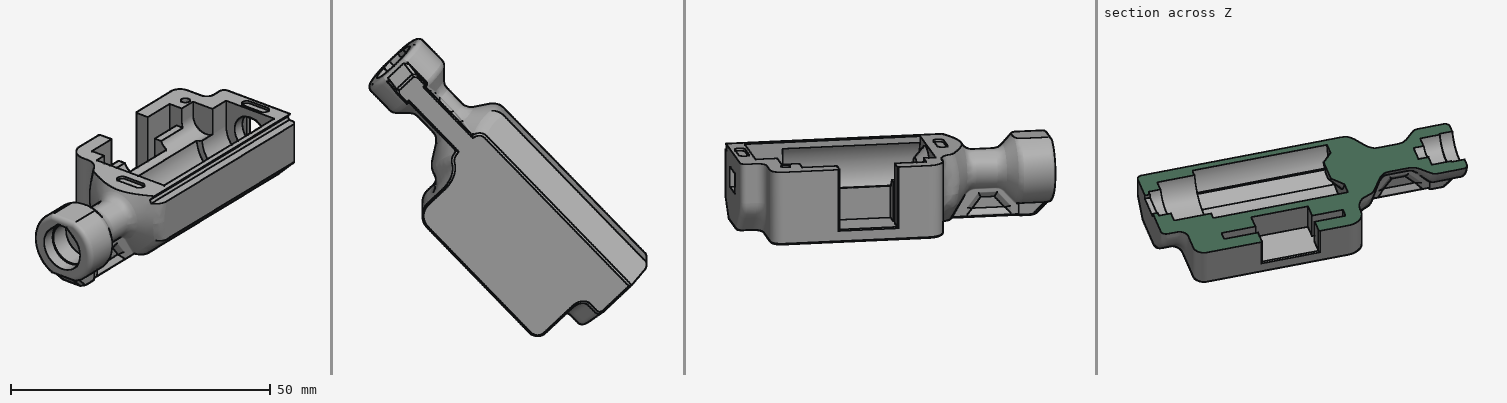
import cadquery as cq
import math


LENGTH = 62.2
BLOCK_SIDE = -16.65
RIGHT_SIDE = 8.67
BOTTOM = -9.0
HEAD_FLAT = 6.44
TOP = 5.5

CASE_LEFT = -9.3
CASE_CHAMFER = 4.8
CASE_LEFT_ROUND = 4.6
CASE_END_ROUND = 1.1
FLARE_EDGE_ROUND = 2.5
BLOCK_FRONT = 23.4
BLOCK_BACK = 57.5
BLOCK_FRONT_ROUND = 3.4
BLOCK_BACK_ROUND = 2.2
FRONT_BLEND = 3.3
BACK_BLEND = 1.7
BOTTOM_CHAMFER = 0.3

HEAD_R = 7.0
HEAD_END_ROUND = 1.0
HEAD_CONE_START = 6.9
HEAD_CONE_ROUND = 1.4
NECK_R = 3.95
NECK_ROUND = 2.4
FLARE_START = 16.4
FLARE_SLOPE = 1.5
FLARE_OUTER_R = 25.0
FLARE_ROOT = 0.9
SOCKET_R = 4.4
SOCKET_DEPTH = 2.6
SOCKET_INNER_R = 4.15
SOCKET_INNER_DEPTH = 6.5
KEYWAY_HALF_TOP = 1.07
KEYWAY_HALF_BASE = 2.6
KEYWAY_TOP = 5.0
KEYWAY_BASE = 3.6
COUNTERBORE_D = 4.15
COUNTERBORE_DEPTH = 2.0
WIRE_HOLE_D = 2.1

RIB_HALF = 2.2
FOOT_HALF = 2.7
FOOT_END = 6.6
FOOT_CHAMFER = 0.6
FOOT_TIP = 3.3
RIB_BACK = 22.0
RIB_TOP = -3.0
FOOT_TOP = -6.0
PANEL_FRONT = 8.1
PANEL_BACK = 16.6
PANEL_TOP_FRONT = 10.7
PANEL_TOP_BACK = 14.4
PANEL_BOTTOM = -8.4
PANEL_SHOULDER = -7.0
PANEL_TOP = -4.1
RIB_ROUND = 0.3
PANEL_DEPTH = 0.7
PANEL_TAPER = 57.0

CAVITY_FRONT = 24.35
CAVITY_STEP = 51.3
CAVITY_BACK = 58.75
CAVITY_HALF = 5.9
WIDE_R = 7.28
CHANNEL_R = 3.1
CHANNEL_X = -7.55
CHANNEL_Z = 2.55
CHANNEL_BACK = 54.5
GROOVE_ANGLE = 30.0
GROOVE_WIDTH = 3.55
GROOVE_FLOOR = 7.95
BOSS_BASE_R = 5.0
BOSS_TIP_R = 2.8
BOSS_LENGTH = 2.05

RECESS_R = 3.8
RECESS_DEPTH = 2.4
OPENING_WIDTH = 5.4
OPENING_HEIGHT = 4.0

WINDOW_FRONT = 32.9
WINDOW_BACK = 44.2
WINDOW_INNER = -9.1
WINDOW_FLOOR = -6.45
WINDOW_CHAMFER = 0.25
WINDOW_TAPER = 45.0
SLOT_FRONT = 26.7
SLOT_BACK = 51.0
SLOT_OUTER = -13.65
SLOT_INNER = -11.95
LEDGE_INNER = -10.0
LEDGE_FLOOR = 1.35

PIN_D = 1.8
PIN_X = -12.15
PIN_Y = 54.0
PIN_DEPTH = 5.0
OBLONG_LENGTH = 6.2
OBLONG_WIDTH = 2.05
OBLONG_DEPTH = 0.5
OBLONG_YS = (21.45, 60.35)
LIP_EDGE = 7.13
LIP_ROOT = 6.5
LIP_ROOT_Z = 4.7
LEDGE_START = 6.87
LEDGE_Z = 4.1

OVERCUT = 5.0


def box(x0, x1, y0, y1, z0, z1):
    return cq.Workplane("XY").box(x1 - x0, y1 - y0, z1 - z0, centered=False).translate((x0, y0, z0))


def rod(radius, y0, y1, x=0.0, z=0.0):
    """Cylinder along Y."""
    return cq.Workplane("XZ", origin=(x, y0, z)).circle(radius).extrude(y0 - y1)


def prism_y(points, y0, y1):
    """Outline of (x, z) points swept along Y."""
    return cq.Workplane("XZ", origin=(0, y0, 0)).polyline(points).close().extrude(y0 - y1)


def revolve_y(points):
    """Outline of (radius, y) points turned about the stem axis."""
    return cq.Workplane("XY").polyline(points).close().revolve(360, (0, 0, 0), (0, 1, 0))


def edges_at(solid, *points):
    """Edges of the solid nearest to the given points."""
    picked = solid.edges(cq.selectors.NearestToPointSelector(points[0]))
    for point in points[1:]:
        picked = picked.add(solid.edges(cq.selectors.NearestToPointSelector(point)))
    return picked


def flare_radius(y):
    return NECK_R + (y - FLARE_START) * FLARE_SLOPE


def flare_y(radius):
    return FLARE_START + (radius - NECK_R) / FLARE_SLOPE


def make_case():
    """Chamfered case with a conical nose, joined to the side block."""
    section = [
        (CASE_LEFT, TOP),
        (CASE_LEFT, BOTTOM + CASE_CHAMFER),
        (CASE_LEFT + CASE_CHAMFER, BOTTOM),
        (RIGHT_SIDE - CASE_CHAMFER, BOTTOM),
        (RIGHT_SIDE, BOTTOM + CASE_CHAMFER),
        (RIGHT_SIDE, TOP),
    ]
    case = prism_y(section, 0, LENGTH)
    left_edge = (CASE_LEFT, LENGTH / 2, BOTTOM + CASE_CHAMFER)
    case = edges_at(case, left_edge).fillet(CASE_LEFT_ROUND)
    case = edges_at(case, (CASE_LEFT, LENGTH, 0), (RIGHT_SIDE, LENGTH, 0)).fillet(CASE_END_ROUND)
    nose = revolve_y([
        (0, flare_y(0)),
        (FLARE_OUTER_R, flare_y(FLARE_OUTER_R)),
        (FLARE_OUTER_R, LENGTH),
        (0, LENGTH),
    ])
    case = case.intersect(nose)
    mid = CASE_CHAMFER / 2
    flare_points = []
    for x, z in (
        (CASE_LEFT, 0),
        (CASE_LEFT + mid, BOTTOM + mid),
        (RIGHT_SIDE - mid, BOTTOM + mid),
        (RIGHT_SIDE, 0),
    ):
        flare_points.append((x, flare_y(math.hypot(x, z)), z))
    case = edges_at(case, *flare_points).fillet(FLARE_EDGE_ROUND)

    block = box(BLOCK_SIDE, 0, BLOCK_FRONT, BLOCK_BACK, BOTTOM, TOP)
    block = edges_at(block, (BLOCK_SIDE, BLOCK_FRONT, 0)).fillet(BLOCK_FRONT_ROUND)
    block = edges_at(block, (BLOCK_SIDE, BLOCK_BACK, 0)).fillet(BLOCK_BACK_ROUND)
    case = case.union(block)
    for y, radius in ((BLOCK_FRONT, FRONT_BLEND), (BLOCK_BACK, BACK_BLEND)):
        corner = edges_at(case, (CASE_LEFT, y, 0), (CASE_LEFT + mid, y, BOTTOM + mid))
        case = corner.fillet(radius)
    return case


def cut_lid_ledge(body):
    """Undercut step for the lid along the right rim."""
    reach = RIGHT_SIDE + OVERCUT
    section = [
        (LIP_EDGE, TOP),
        (LIP_ROOT, LIP_ROOT_Z),
        (LEDGE_START, LEDGE_Z),
        (reach, LEDGE_Z),
        (reach, TOP),
    ]
    return body.cut(prism_y(section, 0, LENGTH))


def make_stem():
    """Head with two flats, neck and the flare root that runs into the case."""
    cone_end = HEAD_CONE_START + HEAD_R - NECK_R
    head = rod(HEAD_R, 0, HEAD_CONE_START + HEAD_R)
    head = head.intersect(box(-HEAD_R, HEAD_R, 0, LENGTH, -HEAD_FLAT, HEAD_FLAT))
    head = head.faces("<Y").edges().fillet(HEAD_END_ROUND)

    root_y = FLARE_START + FLARE_ROOT
    root_r = flare_radius(root_y)
    outline = revolve_y([
        (0, 0),
        (HEAD_R, 0),
        (HEAD_R, HEAD_CONE_START),
        (NECK_R, cone_end),
        (NECK_R, FLARE_START),
        (root_r, root_y),
        (0, root_y),
    ])
    outline = edges_at(outline, (0, HEAD_CONE_START, 0)).fillet(HEAD_CONE_ROUND)
    outline = edges_at(outline, (0, cone_end, 0), (0, FLARE_START, 0)).fillet(NECK_ROUND)
    behind_head = box(-HEAD_R, HEAD_R, cone_end, LENGTH, -HEAD_R, HEAD_R)
    return outline.intersect(head.union(behind_head))


def make_rib():
    """Rib from the case to the head with a sunken panel on each side."""
    foot_outline = [
        (FOOT_TIP, BOTTOM),
        (FOOT_END, BOTTOM),
        (FOOT_END, FOOT_TOP),
        (FOOT_TIP - (FOOT_TOP - BOTTOM), FOOT_TOP),
    ]
    foot = cq.Workplane("YZ", origin=(-FOOT_HALF, 0, 0)).polyline(foot_outline).close()
    foot = foot.extrude(2 * FOOT_HALF)
    slope_mid = (BOTTOM + FOOT_TOP) / 2
    slope_y = FOOT_TIP - (slope_mid - BOTTOM)
    slope_edges = edges_at(foot, (-FOOT_HALF, slope_y, slope_mid), (FOOT_HALF, slope_y, slope_mid))
    foot = slope_edges.chamfer(FOOT_CHAMFER)
    rib = box(-RIB_HALF, RIB_HALF, FOOT_END, RIB_BACK, BOTTOM, RIB_TOP)
    rib = foot.union(rib)
    rib = rib.faces("<Z").edges().chamfer(BOTTOM_CHAMFER)
    panel = [
        (PANEL_FRONT, PANEL_BOTTOM),
        (PANEL_FRONT, PANEL_SHOULDER),
        (PANEL_TOP_FRONT, PANEL_TOP),
        (PANEL_TOP_BACK, PANEL_TOP),
        (PANEL_BACK, PANEL_SHOULDER),
        (PANEL_BACK, PANEL_BOTTOM),
    ]
    left = cq.Workplane("YZ", origin=(-RIB_HALF, 0, 0)).polyline(panel).close()
    left = left.extrude(PANEL_DEPTH, taper=PANEL_TAPER)
    return rib.cut(left).cut(left.mirror("YZ"))


def round_rib_sides(body):
    """Blend the rib sides into stem, case and foot, and soften the panel rims."""
    slack = 0.05
    lowest = BOTTOM + BOTTOM_CHAMFER + slack
    rims = body.edges(cq.selectors.BoxSelector(
        (-RIB_HALF - slack, FOOT_END - slack, lowest), (-RIB_HALF + slack, RIB_BACK, 0)
    ))
    rims = rims.add(body.edges(cq.selectors.BoxSelector(
        (RIB_HALF - slack, FOOT_END - slack, lowest), (RIB_HALF + slack, RIB_BACK, 0)
    )))
    return rims.fillet(RIB_ROUND)


def cut_stem_bores(body):
    """Stepped socket with a keyway, and the wire hole through to the cavity."""
    body = body.cut(rod(SOCKET_R, 0, SOCKET_DEPTH))
    body = body.cut(rod(SOCKET_INNER_R, 0, SOCKET_INNER_DEPTH))
    keyway = [
        (-KEYWAY_HALF_BASE, KEYWAY_BASE),
        (-KEYWAY_HALF_TOP, KEYWAY_TOP),
        (KEYWAY_HALF_TOP, KEYWAY_TOP),
        (KEYWAY_HALF_BASE, KEYWAY_BASE),
    ]
    body = body.cut(prism_y(keyway, 0, SOCKET_INNER_DEPTH))
    body = body.cut(rod(COUNTERBORE_D / 2, 0, SOCKET_INNER_DEPTH + COUNTERBORE_DEPTH))
    return body.cut(rod(WIRE_HOLE_D / 2, 0, CAVITY_STEP))


def make_cavity():
    """Stepped battery bore open to the rim, with a wire channel beside it."""
    open_top = TOP + OVERCUT
    cavity = rod(CAVITY_HALF, CAVITY_FRONT, CAVITY_BACK)
    cavity = cavity.union(box(-CAVITY_HALF, CAVITY_HALF, CAVITY_FRONT, CAVITY_BACK, 0, open_top))
    cavity = cavity.union(rod(WIDE_R, CAVITY_FRONT, CAVITY_STEP))

    channel = rod(CHANNEL_R, CAVITY_FRONT, CHANNEL_BACK, CHANNEL_X, CHANNEL_Z)
    channel_left = CHANNEL_X - CHANNEL_R
    above = box(channel_left, 0, CAVITY_FRONT, CHANNEL_BACK, CHANNEL_Z, open_top)
    cavity = cavity.union(channel).union(above)

    groove = box(
        -GROOVE_WIDTH / 2, GROOVE_WIDTH / 2, CAVITY_FRONT, CAVITY_STEP, -GROOVE_FLOOR, 0
    ).rotate((0, 0, 0), (0, 1, 0), -GROOVE_ANGLE)
    cavity = cavity.union(groove)

    boss = revolve_y([
        (0, CAVITY_FRONT),
        (BOSS_BASE_R, CAVITY_FRONT),
        (BOSS_TIP_R, CAVITY_FRONT + BOSS_LENGTH),
        (0, CAVITY_FRONT + BOSS_LENGTH),
    ])
    return cavity.cut(boss)


def cut_end_wall(body):
    """Round recess inside the rear wall with a rectangular opening through it."""
    body = body.cut(rod(RECESS_R, CAVITY_BACK, CAVITY_BACK + RECESS_DEPTH))
    half_width = OPENING_WIDTH / 2
    half_height = OPENING_HEIGHT / 2
    opening = box(
        -half_width, half_width, CAVITY_BACK, LENGTH + OVERCUT, -half_height, half_height
    )
    return body.cut(opening)


def cut_window(body):
    """Side window open to the rim, with the slot and ledge behind the wall."""
    open_top = TOP + OVERCUT
    window = box(BLOCK_SIDE, WINDOW_INNER, WINDOW_FRONT, WINDOW_BACK, WINDOW_FLOOR, open_top)
    bevel = (
        cq.Workplane("YZ", origin=(BLOCK_SIDE, 0, 0))
        .moveTo(WINDOW_FRONT - WINDOW_CHAMFER, WINDOW_FLOOR - WINDOW_CHAMFER)
        .lineTo(WINDOW_BACK + WINDOW_CHAMFER, WINDOW_FLOOR - WINDOW_CHAMFER)
        .lineTo(WINDOW_BACK + WINDOW_CHAMFER, open_top)
        .lineTo(WINDOW_FRONT - WINDOW_CHAMFER, open_top)
        .close()
        .extrude(WINDOW_CHAMFER, taper=WINDOW_TAPER)
    )
    slot = box(SLOT_OUTER, SLOT_INNER, SLOT_FRONT, SLOT_BACK, WINDOW_FLOOR, open_top)
    ledge = box(SLOT_INNER, LEDGE_INNER, SLOT_FRONT, SLOT_BACK, LEDGE_FLOOR, open_top)
    return body.cut(window).cut(bevel).cut(slot).cut(ledge)


def cut_rim_details(body):
    """Blind pin hole and the two shallow oblong pockets in the rim."""
    rim = cq.Workplane("XY", origin=(0, 0, TOP))
    pin_hole = rim.center(PIN_X, PIN_Y).circle(PIN_D / 2).extrude(-PIN_DEPTH)
    oblongs = rim.pushPoints([(0, y) for y in OBLONG_YS])
    oblongs = oblongs.slot2D(OBLONG_LENGTH, OBLONG_WIDTH).extrude(-OBLONG_DEPTH)
    return body.cut(pin_hole).cut(oblongs)


body = make_case()
body = body.faces("<Z").edges().chamfer(BOTTOM_CHAMFER)
body = body.union(make_rib())
body = body.union(make_stem())
body = round_rib_sides(body)
body = cut_lid_ledge(body)
body = body.cut(make_cavity())
body = cut_end_wall(body)
body = cut_window(body)
body = cut_rim_details(body)
result = cut_stem_bores(body)